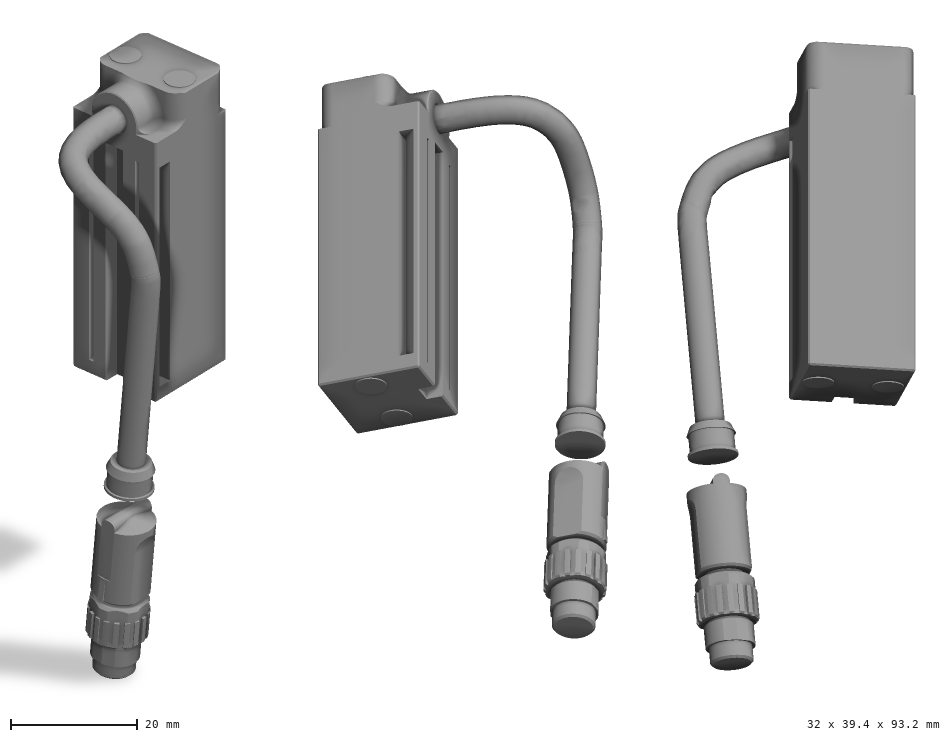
import cadquery as cq
import math

WIDTH = 17.2
HEIGHT = 54.1
EDGE_CHAMFER = 0.3

LEDGE_Z = 47.8
HEAD_WALL_Y = 5.0
CORNER_RADIUS = 2.5
RELIEF_FILLET = 1.3
BACK_LEDGE_Z = 46.1

BOSS_DIAMETER = 9.5
BOSS_Z = 48.9
BOSS_CHAMFER = 0.2
RECESS_DIAMETER = 5.0
RECESS_DEPTH = 0.5

CAP_DIAMETER = 5.0
CAP_RAISE = 0.2
CAP_X = 5.6
CAP_Y = 9.3

GROOVE_WIDTH = 3.5
GROOVE_DEPTH = 2.8
GROOVE_TOP_Z = 43.9

CHANNEL_BOTTOM_Z = 2.6
CHANNEL_TOP_Z = 42.95
CHANNEL_DEPTH = 4.3
CHANNEL_BACK_Y = 3.45
FRONT_GAP = 0.8
LIP_EDGE_Y = 0.9
LIP_BACK_Y = 3.1

CABLE_DIAMETER = 4.7
CABLE_BEND = [
    (0.8, -8.3, 49.2),
    (3.7, -14.35, 49.1),
    (8.9, -17.1, 47.8),
    (15.4, -17.3, 44.8),
    (19.1, -17.1, 41.4),
    (20.8, -17.05, 36.8),
]
STRAIGHT_START = cq.Vector(20.7, -17.0, 30.7)
PLUG_TIP = cq.Vector(14.5, -17.1, -38.6)
COLLAR_TOP = 39.6
COLLAR_SHOULDER = 38.2
FLANGE_TOP = 35.0
COLLAR_BOTTOM = 34.6
COLLAR_TOP_DIAMETER = 6.6
SHOULDER_DIAMETER = 7.8
COLLAR_DIAMETER = 7.3
FLANGE_DIAMETER = 8.0

TIP_DIAMETER = 6.9
TIP_CHAMFER = 0.4
TIP_TOP = 2.8
SLEEVE_DIAMETER = 7.9
SLEEVE_TOP = 6.5
SLEEVE_CHAMFER = 0.3
SLEEVE_FLAT_OFFSET = 3.77
SLEEVE_FLAT_ANGLE = 14.0
NUT_TURN = 6.5
KNURL_BOTTOM = 6.9
KNURL_DIAMETER = 10.0
KNURL_CHAMFER = 0.3
KNURL_TOP = 11.7
KNURL_ROOT_DIAMETER = 8.8
KNURL_TEETH = 18
KNURL_GROOVE_WIDTH = 0.8
NUT_TOP = 14.1
NUT_DIAMETER = 9.5
NUT_FLATS = 8.9
NUT_CHAMFER = 0.5
NECK_DIAMETER = 6.2
GRIP_BOTTOM = 14.9
GRIP_DIAMETER = 9.5
GRIP_CHAMFER = 0.4
PLUG_TOP = 30.2
ROOF_EAVE_DROP = 1.6
ROOF_RIDGE_DROP = 0.6
RIB_WIDTH = 2.7
RIB_FILLET = 1.1
SIDE_FLAT_OFFSET = 4.1
SIDE_FLAT_TOP = 25.0
SIDE_FLAT_RUNOUT = 2.4
FRONT_FLAT_BOTTOM = 19.4
KEY_WIDTH = 1.0
KEY_RAISE = 0.33
KEY_BOTTOM = 15.3
KEY_TOP = 18.8


def box(x_range, y_range, z_range):
    """Axis-aligned box between the given limits."""
    size = [high - low for low, high in (x_range, y_range, z_range)]
    corner = (x_range[0], y_range[0], z_range[0])
    return cq.Workplane("XY").box(*size, centered=False).translate(corner)


def cylinder(diameter, bottom, top, x=0, y=0):
    """Vertical cylinder between two heights."""
    return cq.Workplane("XY", origin=(x, y, bottom)).circle(diameter / 2).extrude(top - bottom)


def boss_cylinder(diameter, y_front, y_back):
    """Cylinder on the cable outlet axis, running along Y."""
    start = cq.Workplane("XZ", origin=(0, y_back, BOSS_Z))
    return start.circle(diameter / 2).extrude(y_back - y_front)


def front_relief():
    """Material removed above the ledge, around the head wall and the boss."""
    margin = 4.7
    reach = WIDTH / 2 + margin
    arc_centre_y = HEAD_WALL_Y + CORNER_RADIUS
    relief = box((-reach, reach), (-margin, arc_centre_y), (LEDGE_Z, HEIGHT + margin))
    head = box(
        (-WIDTH / 2, WIDTH / 2),
        (HEAD_WALL_Y, HEAD_WALL_Y + WIDTH),
        (LEDGE_Z - margin, HEIGHT + 2 * margin),
    )
    head = head.edges("|Z and <Y").fillet(CORNER_RADIUS)
    boss = boss_cylinder(BOSS_DIAMETER, 0, HEAD_WALL_Y + margin).faces("<Y").chamfer(BOSS_CHAMFER)
    relief = relief.cut(head).cut(boss)
    inner = cq.selectors.BoxSelector(
        (-WIDTH / 2 - 0.1, BOSS_CHAMFER + 0.1, LEDGE_Z - 0.1),
        (WIDTH / 2 + 0.1, arc_centre_y - 0.1, HEIGHT),
    )
    return relief.edges(inner).edges("not |Z").fillet(RELIEF_FILLET)


def back_corner_relief(side):
    """Material removed to round one back corner above the back ledge."""
    x_centre = side * (WIDTH / 2 - CORNER_RADIUS)
    y_centre = WIDTH - CORNER_RADIUS
    corner = box(
        sorted((x_centre, side * WIDTH)), (y_centre, 2 * WIDTH), (BACK_LEDGE_Z, 2 * HEIGHT)
    )
    return corner.cut(cylinder(2 * CORNER_RADIUS, BACK_LEDGE_Z, 2 * HEIGHT, x_centre, y_centre))


def side_channel(side):
    """Channel open to one side face and, through a narrow gap, to the front face."""
    side_x = WIDTH / 2
    floor_x = side_x - CHANNEL_DEPTH
    lip_x = floor_x + FRONT_GAP
    outline = [
        (floor_x, 0),
        (lip_x, 0),
        (lip_x, LIP_BACK_Y),
        (side_x - (LIP_BACK_Y - LIP_EDGE_Y), LIP_BACK_Y),
        (side_x, LIP_EDGE_Y),
        (side_x, CHANNEL_BACK_Y),
        (floor_x, CHANNEL_BACK_Y),
    ]
    plan = cq.Workplane("XY", origin=(0, 0, CHANNEL_BOTTOM_Z))
    plan = plan.polyline([(side * x, y) for x, y in outline]).close()
    return plan.extrude(CHANNEL_TOP_Z - CHANNEL_BOTTOM_Z)


def make_housing_block():
    block = box((-WIDTH / 2, WIDTH / 2), (0, WIDTH), (0, HEIGHT)).edges().chamfer(EDGE_CHAMFER)
    block = block.cut(front_relief())
    block = block.cut(
        box((-GROOVE_WIDTH / 2, GROOVE_WIDTH / 2), (0, GROOVE_DEPTH), (0, GROOVE_TOP_Z))
    )
    for side in (-1, 1):
        block = block.cut(back_corner_relief(side)).cut(side_channel(side))
        block = block.union(
            cylinder(CAP_DIAMETER, -CAP_RAISE, HEIGHT + CAP_RAISE, side * CAP_X, CAP_Y)
        )
    return block.cut(boss_cylinder(RECESS_DIAMETER, 0, RECESS_DEPTH))


def plug_location():
    """Placement of the plug frame: origin at the tip, Z up along the cable axis."""
    axis = (STRAIGHT_START - PLUG_TIP).normalized()
    across = cq.Vector(axis.z, 0, -axis.x)
    return cq.Location(cq.Plane(PLUG_TIP, across, axis))


def make_collar():
    profile = [
        (0, COLLAR_BOTTOM),
        (FLANGE_DIAMETER / 2, COLLAR_BOTTOM),
        (FLANGE_DIAMETER / 2, FLANGE_TOP),
        (COLLAR_DIAMETER / 2, FLANGE_TOP),
        (COLLAR_DIAMETER / 2, COLLAR_SHOULDER),
        (SHOULDER_DIAMETER / 2, COLLAR_SHOULDER),
        (COLLAR_TOP_DIAMETER / 2, COLLAR_TOP),
        (0, COLLAR_TOP),
    ]
    collar = cq.Workplane("XZ").polyline(profile).close().revolve(360, (0, 0), (0, 1))
    return cq.Workplane(collar.val().moved(plug_location()))


def make_cable():
    axis = (PLUG_TIP - STRAIGHT_START).normalized()
    collar_end = PLUG_TIP - axis * (COLLAR_TOP + COLLAR_BOTTOM) * 0.5
    start = cq.Vector(0, RECESS_DEPTH, BOSS_Z)
    bend = cq.Edge.makeSpline(
        [start, *[cq.Vector(*p) for p in CABLE_BEND], STRAIGHT_START],
        tangents=[cq.Vector(0, -1, 0), axis],
    )
    section = cq.Workplane("XZ", origin=start.toTuple()).circle(CABLE_DIAMETER / 2)
    curved = section.sweep(cq.Workplane(cq.Wire.assembleEdges([bend])))
    length = (collar_end - STRAIGHT_START).Length
    tail = cq.Solid.makeCylinder(CABLE_DIAMETER / 2, length, STRAIGHT_START, axis)
    return curved.union(cq.Workplane(tail))


def make_housing():
    """Housing block with its moulded cable and the collar at the cable end."""
    return make_housing_block().union(make_cable()).union(make_collar())


def plug_grip():
    """Grip with a conical roof, a rib across it, flats at the sides and a key in front."""
    radius = GRIP_DIAMETER / 2
    half_rib = RIB_WIDTH / 2
    roof_profile = [
        (0, GRIP_BOTTOM),
        (radius - GRIP_CHAMFER, GRIP_BOTTOM),
        (radius, GRIP_BOTTOM + GRIP_CHAMFER),
        (radius, PLUG_TOP - ROOF_EAVE_DROP),
        (half_rib, PLUG_TOP - ROOF_RIDGE_DROP),
        (0, PLUG_TOP - ROOF_RIDGE_DROP),
    ]
    grip = cq.Workplane("XZ").polyline(roof_profile).close().revolve(360, (0, 0), (0, 1))
    rib = box((-half_rib, half_rib), (-radius, radius), (SIDE_FLAT_TOP, PLUG_TOP))
    rib = rib.edges("|Y and >Z").fillet(RIB_FILLET)
    rib = rib.intersect(cylinder(GRIP_DIAMETER, SIDE_FLAT_TOP, PLUG_TOP))
    grip = grip.union(rib)

    for side in (-1, 1):
        flat = (
            cq.Workplane("XZ")
            .moveTo(side * radius, GRIP_BOTTOM)
            .lineTo(side * SIDE_FLAT_OFFSET, GRIP_BOTTOM)
            .lineTo(side * SIDE_FLAT_OFFSET, SIDE_FLAT_TOP)
            .tangentArcPoint((side * radius, SIDE_FLAT_TOP + SIDE_FLAT_RUNOUT), relative=False)
            .close()
        )
        grip = grip.cut(flat.extrude(radius, both=True))

    front_flat_y = -math.sqrt(radius**2 - half_rib**2)
    grip = grip.cut(
        box((-radius, radius), (-2 * radius, front_flat_y), (FRONT_FLAT_BOTTOM, PLUG_TOP))
    )

    key_profile = [
        (0, KEY_BOTTOM),
        (-radius - KEY_RAISE, KEY_BOTTOM),
        (-radius, KEY_TOP),
        (0, KEY_TOP),
    ]
    key = cq.Workplane("YZ").polyline(key_profile).close().extrude(KEY_WIDTH / 2, both=True)
    return grip.union(key)


def plug_nut():
    """Hexagonal collar with rounded corners and a chamfered top."""
    nut = cylinder(NUT_DIAMETER, KNURL_BOTTOM, NUT_TOP).faces(">Z").chamfer(NUT_CHAMFER)
    hexagon = cq.Workplane("XY", origin=(0, 0, KNURL_BOTTOM))
    hexagon = hexagon.polygon(6, NUT_FLATS, circumscribed=True).extrude(NUT_TOP - KNURL_BOTTOM)
    return nut.intersect(hexagon)


def plug_knurl():
    """Knurled ring with straight grooves along the plug axis."""
    knurl = cylinder(KNURL_DIAMETER, KNURL_BOTTOM, KNURL_TOP).faces("<Z").chamfer(KNURL_CHAMFER)
    groove = box(
        (KNURL_ROOT_DIAMETER / 2, KNURL_DIAMETER),
        (-KNURL_GROOVE_WIDTH / 2, KNURL_GROOVE_WIDTH / 2),
        (KNURL_BOTTOM, KNURL_TOP),
    )
    for tooth in range(KNURL_TEETH):
        angle = (tooth + 0.5) * 360 / KNURL_TEETH
        knurl = knurl.cut(groove.rotate((0, 0, 0), (0, 0, 1), angle))
    return knurl


def plug_sleeve():
    """Sleeve below the knurl, with a pair of adjoining flats at front and back."""
    sleeve = cylinder(SLEEVE_DIAMETER, TIP_TOP, SLEEVE_TOP).faces(">Z").chamfer(SLEEVE_CHAMFER)
    beyond_flat = box(
        (SLEEVE_FLAT_OFFSET, SLEEVE_DIAMETER),
        (-SLEEVE_DIAMETER, SLEEVE_DIAMETER),
        (TIP_TOP, SLEEVE_TOP),
    )
    for face_angle in (90, 270):
        for offset in (-SLEEVE_FLAT_ANGLE, SLEEVE_FLAT_ANGLE):
            sleeve = sleeve.cut(beyond_flat.rotate((0, 0, 0), (0, 0, 1), face_angle + offset))
    return sleeve


def make_plug():
    turned = plug_nut().union(plug_knurl()).union(plug_sleeve())
    plug = cylinder(TIP_DIAMETER, 0, KNURL_BOTTOM).faces("<Z").chamfer(TIP_CHAMFER)
    plug = plug.union(cylinder(NECK_DIAMETER, KNURL_BOTTOM, GRIP_BOTTOM))
    plug = plug.union(turned.rotate((0, 0, 0), (0, 0, 1), NUT_TURN)).union(plug_grip())
    return cq.Workplane(plug.val().moved(plug_location()))


housing = make_housing()
plug = make_plug()
result = cq.Compound.makeCompound([housing.val(), plug.val()])